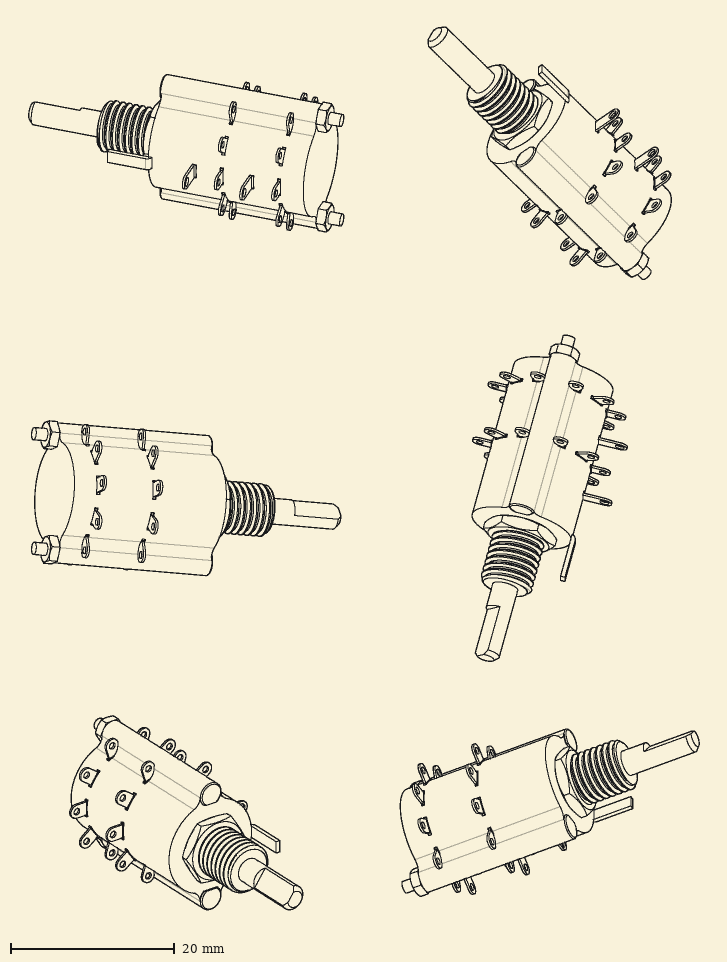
import cadquery as cq
import math


bushing_start = 9.47
nut_start = 15.85
body_start = 17.4
body_length = 20.15
overall_length = 40.3
body_end = body_start + body_length

shaft_diameter = 3.2
shaft_tip_chamfer = 0.52
shaft_flat_length = 6.33
shaft_flat_distance = 0.8
shaft_flat_angle = 36.0

thread_diameter = 6.45
thread_root_diameter = 5.55
thread_pitch = 0.85
thread_crest_width = 0.15
thread_base_width = 0.75
thread_embed = 0.12
thread_lead_in = 0.2
bushing_nut_flats = 7.85
nut_chamfer_angle = 30.0
nut_face_ratio = 0.98

overall_height = 17.45
body_radius = 6.3
boss_radius = 1.57
boss_offset = overall_height / 2 - boss_radius
pad_height = 0.25
pad_chamfer = 0.15
pad_flat_offset = 1.2

screw_nut_flats = 2 * boss_radius
screw_nut_height = 1.2
stud_diameter = 1.55

tab_start = 12.3
tab_end = 17.9
tab_width = 1.57
tab_thickness = 0.55
tab_end_radius = 0.7

terminal_count = 10
terminal_thickness = 0.3
terminal_width = 1.8
terminal_hole_offset = 7.78
terminal_hole = 0.85
first_deck = 27.0
deck_spacing = 7.45
root_width = 2.3
root_overhang = 0.1
long_hole_offset = 8.95
long_hole = 1.1
foot_length = 0.25
foot_rise = 0.06
inner_radius = 5.25


def cylinder_x(start, end, radius, y=0.0, z=0.0):
    return cq.Workplane("YZ", origin=(start, y, z)).circle(radius).extrude(end - start)


def box_between(x_range, y_range, z_range):
    size = [high - low for low, high in (x_range, y_range, z_range)]
    corner = (x_range[0], y_range[0], z_range[0])
    return cq.Workplane("XY", origin=corner).box(*size, centered=False)


def turn_about_x(shape, angle):
    return shape.rotate((0, 0, 0), (1, 0, 0), angle)


def hex_nut(start, height, flats, chamfer_front, chamfer_back, z=0.0):
    """Hexagon with flats facing +Z and -Z, its corners turned off conically at the chosen ends."""
    corner_radius = flats / math.sqrt(3)
    face_radius = nut_face_ratio * flats / 2
    drop = (corner_radius - face_radius) * math.tan(math.radians(nut_chamfer_angle))
    front_radius = face_radius if chamfer_front else corner_radius
    back_radius = face_radius if chamfer_back else corner_radius
    turned_profile = [
        (0, 0), (0, front_radius), (drop, corner_radius),
        (height - drop, corner_radius), (height, back_radius), (height, 0),
    ]
    turned = cq.Workplane("XY").polyline(turned_profile).close().revolve(360, (0, 0, 0), (1, 0, 0))
    hexagon = cq.Workplane("YZ").polygon(6, 2 * corner_radius).extrude(height)
    return hexagon.intersect(turned).translate((start, 0, z))


def make_shaft():
    radius = shaft_diameter / 2
    shaft = cylinder_x(0, body_start, radius).faces("<X").chamfer(shaft_tip_chamfer)
    cutter = box_between((0, shaft_flat_length), (shaft_flat_distance, 2 * radius), (-radius, radius))
    return shaft.cut(turn_about_x(cutter, shaft_flat_angle))


def make_bushing():
    """Plain core with a right-hand helical ridge, bevelled down to the root at the free end."""
    root_radius = thread_root_diameter / 2
    crest_radius = thread_diameter / 2
    ridge_start = bushing_start - thread_lead_in
    ridge_end = nut_start + thread_pitch / 2
    embed_radius = root_radius - thread_embed

    path = cq.Workplane(obj=cq.Wire.makeHelix(thread_pitch, ridge_end - ridge_start, embed_radius))
    ridge = (
        cq.Workplane("XZ")
        .polyline([
            (embed_radius, -thread_base_width / 2),
            (crest_radius, -thread_crest_width / 2),
            (crest_radius, thread_crest_width / 2),
            (embed_radius, thread_base_width / 2),
        ])
        .close()
        .sweep(path, isFrenet=True)
        .rotate((0, 0, 0), (0, 1, 0), 90)
        .translate((ridge_start, 0, 0))
    )
    envelope = (
        cylinder_x(bushing_start, body_start, crest_radius + thread_embed)
        .faces("<X").chamfer(crest_radius + thread_embed - root_radius)
    )
    core = cylinder_x(bushing_start, body_start, root_radius)
    return core.union(ridge.intersect(envelope))


def make_body():
    """Round body whose bosses blend into it through concave arcs tangent to both."""
    blend_radius = (
        (boss_radius**2 + boss_offset**2 - body_radius**2) / (2 * (body_radius - boss_radius))
    )
    blend_y = boss_radius + blend_radius
    on_body = body_radius / (body_radius + blend_radius)
    body_y = blend_y * on_body
    body_z = boss_offset * on_body

    profile = (
        cq.Workplane("YZ", origin=(body_start, 0, 0))
        .moveTo(body_y, body_z)
        .radiusArc((boss_radius, boss_offset), blend_radius)
        .threePointArc((0, boss_offset + boss_radius), (-boss_radius, boss_offset))
        .radiusArc((-body_y, body_z), blend_radius)
        .threePointArc((-body_radius, 0), (-body_y, -body_z))
        .radiusArc((-boss_radius, -boss_offset), blend_radius)
        .threePointArc((0, -boss_offset - boss_radius), (boss_radius, -boss_offset))
        .radiusArc((body_y, -body_z), blend_radius)
        .threePointArc((body_radius, 0), (body_y, body_z))
        .close()
    )
    return profile.extrude(body_length)


def make_boss_pad():
    """Bevelled pad on the front of the +Z boss, cut flat on the side facing the shaft."""
    pad_start = body_start - pad_height
    pad = cylinder_x(pad_start, body_start, boss_radius, z=boss_offset)
    pad = pad.faces("<X").chamfer(pad_chamfer)
    pad_bottom = boss_offset - pad_flat_offset
    keep = box_between(
        (pad_start, body_start), (-boss_radius, boss_radius), (pad_bottom, boss_offset + boss_radius)
    )
    return pad.intersect(keep)


def make_screw_end():
    nut = hex_nut(body_end, screw_nut_height, screw_nut_flats, False, True, boss_offset)
    return nut.union(cylinder_x(body_end, overall_length, stud_diameter / 2, z=boss_offset))


def make_tab():
    """Flat tab on the -Y side, its rear end rounded down to the body."""
    half_width = tab_width / 2
    inner_y = -math.sqrt(body_radius**2 - half_width**2)
    outer_y = inner_y - tab_thickness
    arc_run = math.sqrt(tab_end_radius**2 - (tab_end_radius - tab_thickness)**2)
    return (
        cq.Workplane("XY", origin=(0, 0, -half_width))
        .moveTo(tab_start, inner_y)
        .lineTo(tab_start, outer_y)
        .lineTo(tab_end - arc_run, outer_y)
        .radiusArc((tab_end, inner_y), -tab_end_radius)
        .close()
        .extrude(tab_width)
    )


def make_terminal(center_x, hole_offset, hole_diameter):
    """Round-ended lug pointing to -Y."""
    start = center_x - terminal_thickness / 2
    end = start + terminal_thickness
    half_width = terminal_width / 2
    strip = box_between((start, end), (-hole_offset, -inner_radius), (-half_width, half_width))
    lug = strip.union(cylinder_x(start, end, half_width, y=-hole_offset))
    return lug.cut(cylinder_x(start, end, hole_diameter / 2, y=-hole_offset))


def make_root(start, end, width):
    """Low flat block around the foot of a -Y terminal."""
    return box_between(
        (start, end), (-body_radius - foot_rise, -inner_radius), (-width / 2, width / 2)
    )


def make_deck(deck_x):
    half_thickness = terminal_thickness / 2
    terminal = make_terminal(deck_x, terminal_hole_offset, terminal_hole)
    terminal = terminal.union(
        make_root(deck_x - half_thickness - root_overhang, deck_x + half_thickness, root_width)
    )
    long_x = deck_x - deck_spacing / 2
    deck = make_terminal(long_x, long_hole_offset, long_hole)
    deck = deck.union(
        make_root(long_x - half_thickness, long_x + half_thickness + foot_length, terminal_width)
    )
    for index in range(terminal_count):
        deck = deck.union(turn_about_x(terminal, index * 360 / terminal_count))
    return deck


result = make_body().union(make_shaft()).union(make_bushing())
result = result.union(
    hex_nut(nut_start, body_start - nut_start, bushing_nut_flats, True, True)
)
result = result.union(make_tab())
for boss_angle in (0, 180):
    result = result.union(turn_about_x(make_boss_pad(), boss_angle))
    result = result.union(turn_about_x(make_screw_end(), boss_angle))
for deck_x in (first_deck, first_deck + deck_spacing):
    result = result.union(make_deck(deck_x))